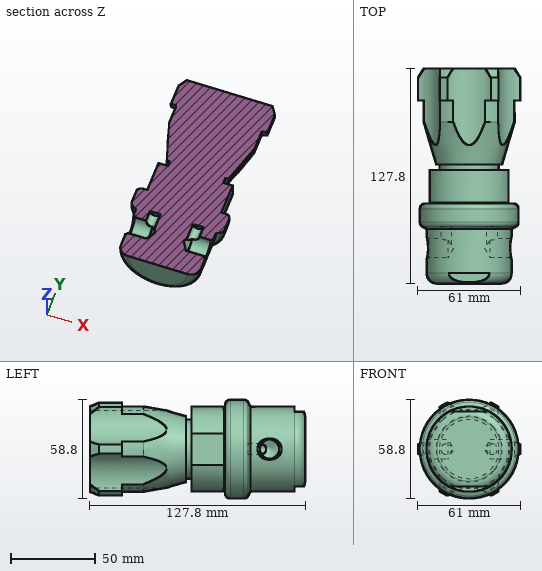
import cadquery as cq
import math

LENGTH = 127.8

BODY_RADIUS = 25.3
NOSE_RADIUS = 6.3
NOSE_FLAT_Z = 22.2
NOSE_FLAT_LENGTH = 6.4

FLANGE_RADIUS = 29.4
FLANGE_FRONT = 32.5
FLANGE_REAR = 47.7
REAR_ROUND = 3.2
FLANGE_CONE_ANGLE = 30.0
FRONT_ROUND = 3.1
UNDERCUT_RADIUS = 23.5

WRENCH_FRONT = 48.3
WRENCH_REAR = 67.6
WRENCH_FLAT_X = 23.5

NECK_RADIUS = 17.6
HEAD_FRONT = 70.7
HEAD_FRONT_RADIUS = 19.5
BARREL_RADIUS = 27.1
BARREL_FRONT = 96.1
LUG_DIAMETER = 61.0
LUG_RADIUS = LUG_DIAMETER / 2
LUG_LENGTH = 19.0
LUG_CHAMFER_LENGTH = 5.5

FLUTE_COUNT = 6
FLUTE_RADIUS = 20.0
FLUTE_FLOOR = 23.0

CROSS_HOLE_Y = 21.2
CROSS_HOLE_RADIUS = 5.7
CROSS_HOLE_DEPTH = 12.8
COUNTERSINK_RADIUS = 7.2
DRILL_TIP_ANGLE = 118.0
PASSAGE_DIAMETER = 6.4
PASSAGE_LENGTH = 12.8
PASSAGE_OFFSET = 1.0


def turned_body():
    """Solid of revolution; outline points are (radius, y)."""
    rear_round_center = FLANGE_RADIUS - REAR_ROUND
    slope = math.radians(FLANGE_CONE_ANGLE)
    front_round_center = FLANGE_RADIUS - FRONT_ROUND
    cone_radius = front_round_center + FRONT_ROUND * math.sin(slope)
    cone_rear = FLANGE_FRONT + (cone_radius - BODY_RADIUS) * math.tan(slope)
    front_round_rear = cone_rear + FRONT_ROUND * math.cos(slope)
    round_middle = (math.pi / 2 - slope) / 2
    diagonal = math.sqrt(0.5)
    nose_center = BODY_RADIUS - NOSE_RADIUS
    outline = (
        cq.Workplane("XY")
        .moveTo(0, 0)
        .lineTo(nose_center, 0)
        .threePointArc(
            (nose_center + NOSE_RADIUS * diagonal, NOSE_RADIUS * (1 - diagonal)),
            (BODY_RADIUS, NOSE_RADIUS),
        )
        .lineTo(BODY_RADIUS, FLANGE_FRONT)
        .lineTo(cone_radius, cone_rear)
        .threePointArc(
            (
                front_round_center + FRONT_ROUND * math.cos(round_middle),
                front_round_rear - FRONT_ROUND * math.sin(round_middle),
            ),
            (FLANGE_RADIUS, front_round_rear),
        )
        .lineTo(FLANGE_RADIUS, FLANGE_REAR - REAR_ROUND)
        .threePointArc(
            (rear_round_center + REAR_ROUND * diagonal, FLANGE_REAR - REAR_ROUND * (1 - diagonal)),
            (rear_round_center, FLANGE_REAR),
        )
        .lineTo(UNDERCUT_RADIUS, FLANGE_REAR)
        .lineTo(UNDERCUT_RADIUS, WRENCH_FRONT)
        .lineTo(BODY_RADIUS, WRENCH_FRONT)
        .lineTo(BODY_RADIUS, WRENCH_REAR)
        .lineTo(NECK_RADIUS, WRENCH_REAR)
        .lineTo(NECK_RADIUS, HEAD_FRONT)
        .lineTo(HEAD_FRONT_RADIUS, HEAD_FRONT)
        .lineTo(BARREL_RADIUS, BARREL_FRONT)
        .lineTo(BARREL_RADIUS, LENGTH - LUG_LENGTH)
        .lineTo(LUG_RADIUS, LENGTH - LUG_LENGTH)
        .lineTo(LUG_RADIUS, LENGTH - LUG_CHAMFER_LENGTH)
        .lineTo(BARREL_RADIUS, LENGTH)
        .lineTo(0, LENGTH)
        .close()
    )
    return outline.revolve(360, (0, 0, 0), (0, 1, 0))


def y_cylinder(x, z, radius, y_start, y_end):
    """Cylinder parallel to the Y axis."""
    return cq.Workplane(
        cq.Solid.makeCylinder(radius, y_end - y_start, cq.Vector(x, y_start, z), cq.Vector(0, 1, 0))
    )


def cut_flutes(body):
    """Round flutes that divide the head into evenly spaced lugs."""
    center_distance = FLUTE_FLOOR + FLUTE_RADIUS
    for index in range(FLUTE_COUNT):
        angle = math.radians(90 + index * 360 / FLUTE_COUNT)
        flute = y_cylinder(
            center_distance * math.cos(angle),
            center_distance * math.sin(angle),
            FLUTE_RADIUS,
            HEAD_FRONT,
            LENGTH,
        )
        body = body.cut(flute)
    return body


def cut_flats(body):
    """Nose flats facing up and down, and wrench flats facing left and right."""
    width = 2 * FLANGE_RADIUS
    for side in (-1, 1):
        nose_block = cq.Workplane("XY").box(width, NOSE_FLAT_LENGTH, width).translate(
            (0, NOSE_FLAT_LENGTH / 2, side * (NOSE_FLAT_Z + width / 2))
        )
        wrench_block = cq.Workplane("XY").box(width, WRENCH_REAR - WRENCH_FRONT, width).translate(
            (side * (WRENCH_FLAT_X + width / 2), (WRENCH_FRONT + WRENCH_REAR) / 2, 0)
        )
        body = body.cut(nose_block).cut(wrench_block)
    return body


def cut_cross_holes(body):
    """Countersunk blind holes with drill tips; profile points are (x, radius)."""
    floor_x = BODY_RADIUS - CROSS_HOLE_DEPTH
    tip_length = CROSS_HOLE_RADIUS / math.tan(math.radians(DRILL_TIP_ANGLE / 2))
    countersink_depth = COUNTERSINK_RADIUS - CROSS_HOLE_RADIUS
    hole = (
        cq.Workplane("XY")
        .polyline([
            (floor_x - tip_length, 0),
            (floor_x, CROSS_HOLE_RADIUS),
            (BODY_RADIUS - countersink_depth, CROSS_HOLE_RADIUS),
            (BODY_RADIUS, COUNTERSINK_RADIUS),
            (BODY_RADIUS, 0),
        ])
        .close()
        .revolve(360, (0, 0, 0), (1, 0, 0))
        .translate((0, CROSS_HOLE_Y, 0))
    )
    passage = y_cylinder(
        floor_x + PASSAGE_OFFSET,
        0,
        PASSAGE_DIAMETER / 2,
        CROSS_HOLE_Y,
        CROSS_HOLE_Y + PASSAGE_LENGTH,
    )
    cutter = hole.union(passage)
    return body.cut(cutter).cut(cutter.mirror("YZ"))


result = cut_cross_holes(cut_flats(cut_flutes(turned_body())))